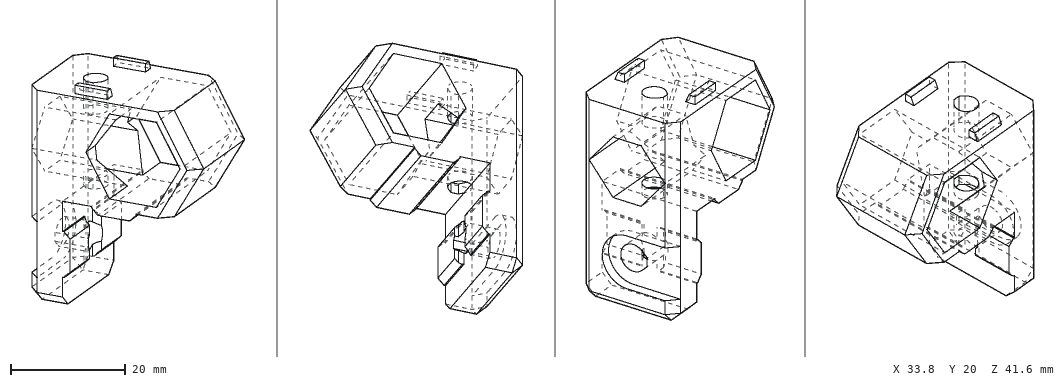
import cadquery as cq
import math

width = 20.0
total_height = 41.6
total_length = 33.75
body_height = 2 * width
block_floor = body_height - width
bore_z = body_height - width / 2
leg_thickness = 7.07
chamfer = 2.0

nose_run = width / 2 * math.tan(math.radians(30))
bore_x = 20.85
bore_flats = 15.97
bore_diameter = bore_flats / math.cos(math.radians(30))

window_width = 16.0
window_height = 12.02
window_flat = 5.9
window_floor = bore_z - bore_flats / 2

rail_width = 8.65
rail_depth = 1.45
rail_bevel = 1.2
rail_offset = width / 2

peak_ratio = 1.1
block_hole_radius = 2.15
block_hole_x = 8.53
leg_hole_radius = 2.65
leg_hole_z = width / 2
recess_radius = 5.25
recess_depth = chamfer

tab_start = 8.75
tab_length = 6.32
tab_base = 2.0
tab_slope = 0.65
tab_spacing = 14.98
tab_outer_y = 8.45


def make_body():
    """P-shaped side profile with chamfered outer edges."""
    shoulder = total_length - nose_run
    body = (
        cq.Workplane("XZ")
        .moveTo(0, 0)
        .lineTo(leg_thickness, 0)
        .lineTo(leg_thickness, block_floor)
        .lineTo(shoulder, block_floor)
        .lineTo(total_length, bore_z)
        .lineTo(shoulder, body_height)
        .lineTo(0, body_height)
        .close()
        .extrude(width / 2, both=True)
    )
    outer_edges = body.faces("<X").edges("|Z")
    foot_edges = body.faces("<Z").edges("<X or <Y or >Y")
    nose_edges = body.faces("<Y or >Y").edges(cq.selectors.BoxSelector(
        (shoulder, -width, block_floor), (total_length, width, body_height)))
    return body.newObject(outer_edges.vals() + foot_edges.vals() + nose_edges.vals()).chamfer(chamfer)


def make_rail():
    """Bevelled rail along Y, centred on X = 0 and projecting down from Z = 0."""
    half = rail_width / 2
    return (
        cq.Workplane("XZ")
        .moveTo(-half, 0)
        .lineTo(-half, rail_bevel - rail_depth)
        .lineTo(rail_bevel - half, -rail_depth)
        .lineTo(half - rail_bevel, -rail_depth)
        .lineTo(half, rail_bevel - rail_depth)
        .lineTo(half, 0)
        .close()
        .extrude(width / 2, both=True)
    )


def make_tab(outer_y):
    """Small tab whose +Y side slopes inward."""
    return (
        cq.Workplane("YZ", origin=(tab_start, outer_y, body_height))
        .moveTo(0, 0)
        .lineTo(-tab_base, 0)
        .lineTo(-tab_base, total_height - body_height)
        .lineTo(-tab_slope, total_height - body_height)
        .close()
        .extrude(tab_length)
    )


def make_peaked_hole(plane, origin, radius, length, toward_peak):
    """Round hole with 45 degree flanks to a flat peak; toward_peak is its (u, v) direction."""
    peak = peak_ratio * radius
    tangent = radius * math.sqrt(0.5)
    half_flat = radius * math.sqrt(2) - peak
    u, v = toward_peak
    flanks = [(0, 0), (tangent, tangent), (peak, half_flat), (peak, -half_flat), (tangent, -tangent)]
    outline = [(along * u - across * v, along * v + across * u) for along, across in flanks]
    hole = cq.Workplane(plane, origin=origin).circle(radius).extrude(length)
    return hole.union(cq.Workplane(plane, origin=origin).polyline(outline).close().extrude(length))


def make_bore():
    return (
        cq.Workplane("XZ")
        .center(bore_x, bore_z)
        .polygon(6, bore_diameter)
        .extrude(width / 2, both=True)
    )


def make_window():
    """Straight passage from the outer face into the bore."""
    half = window_width / 2
    rise = window_height / 2
    outline = [
        (half, 0), (window_flat / 2, rise), (-window_flat / 2, rise),
        (-half, 0), (-window_flat / 2, -rise), (window_flat / 2, -rise),
    ]
    return (
        cq.Workplane("YZ", origin=(0, 0, window_floor + rise))
        .polyline(outline)
        .close()
        .extrude(bore_x)
    )


def make_recess():
    """Round-ended screw head recess, open toward -Y."""
    plane = cq.Workplane("YZ", origin=(0, 0, leg_hole_z))
    channel = plane.center(-width / 4, 0).rect(width / 2, 2 * recess_radius).extrude(recess_depth)
    return plane.circle(recess_radius).extrude(recess_depth).union(channel)


block_rail = make_rail().translate((leg_thickness + rail_offset, 0, block_floor))
leg_rail = (
    make_rail()
    .rotate((0, 0, 0), (0, 1, 0), -90)
    .translate((leg_thickness, 0, block_floor - rail_offset))
)
block_hole = make_peaked_hole("XY", (block_hole_x, 0, block_floor), block_hole_radius, width, (0, -1))
rail_notch = make_peaked_hole("XY", (block_hole_x, 0, 0), block_hole_radius, block_floor, (0, -1))
leg_rail = leg_rail.cut(rail_notch)
leg_hole = make_peaked_hole(
    "YZ", (0, 0, leg_hole_z), leg_hole_radius, leg_thickness + rail_depth, (-1, 0))

result = make_body().union(block_rail).union(leg_rail)
for row in range(2):
    result = result.union(make_tab(tab_outer_y - row * tab_spacing))
for cutter in (make_bore(), make_window(), make_recess(), block_hole, leg_hole):
    result = result.cut(cutter)